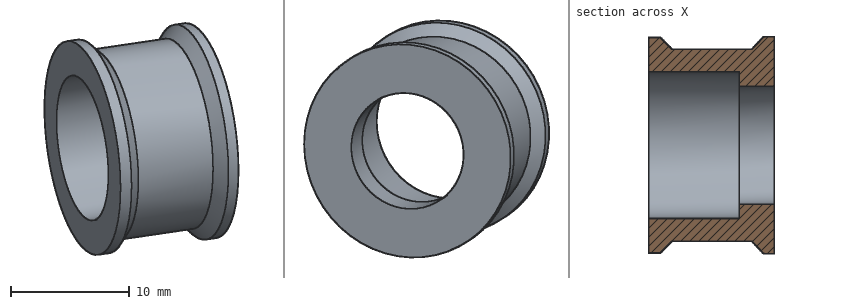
import cadquery as cq

length = 10.66
back_flange_diameter = 18.41
front_flange_diameter = 18.3
waist_diameter = 16.3
bore_diameter = 12.4
lip_bore_diameter = 10.0

front_rim_width = 1.0
back_rim_width = 0.92
taper_width = 1.0
lip_thickness = 3.0

front_y = -length / 2
back_y = length / 2
front_rim_end = front_y + front_rim_width
back_rim_start = back_y - back_rim_width


def make_spool():
    """Solid body: two rims with conical inner flanks and a narrower waist."""
    half_profile = [
        (0, front_y),
        (front_flange_diameter / 2, front_y),
        (front_flange_diameter / 2, front_rim_end),
        (waist_diameter / 2, front_rim_end + taper_width),
        (waist_diameter / 2, back_rim_start - taper_width),
        (back_flange_diameter / 2, back_rim_start),
        (back_flange_diameter / 2, back_y),
        (0, back_y),
    ]
    return cq.Workplane("XY").polyline(half_profile).close().revolve(360, (0, 0, 0), (0, 1, 0))


def make_bore():
    """Wide bore from the front, reduced by a lip at the back."""
    front_plane = cq.Workplane("XZ", origin=(0, front_y, 0))
    wide_bore = front_plane.circle(bore_diameter / 2).extrude(-(length - lip_thickness))
    lip_bore = front_plane.circle(lip_bore_diameter / 2).extrude(-length)
    return wide_bore.union(lip_bore)


result = make_spool().cut(make_bore())